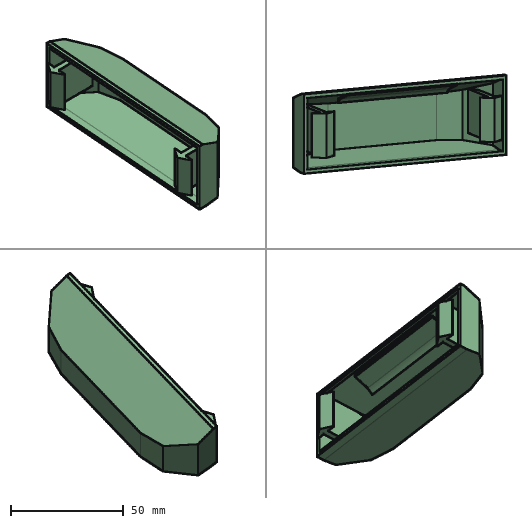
import cadquery as cq
import math

length = 100.0
height = 36.0
depth = 25.0
wall = 1.8
side_depth = 11.0
bevel_x = 39.0
bevel_y = 22.0
back_half_length = 27.0
top_flat = 2.0
bottom_flat = 4.0
back_top_z = 9.0
back_bottom_z = -15.0

hook_x = 41.5
hook_height = 20.0
hook_center_z = -0.5
stem_width = 3.0
head_width = 11.0
head_base_y = -1.8
head_edge = 0.4
tip_y = -5.5

pad_half_length = 27.0
pad_front_z = 15.8
pad_face_front = (3.0, 15.0)
pad_face_back_y = 10.2
cove_middle = (11.7, 11.1)
lip_edge = (12.9, 9.8)

half_length = length / 2
half_height = height / 2
roof_slope = (half_height - back_top_z) / (depth - top_flat)
floor_slope = (back_bottom_z + half_height) / (depth - bottom_flat)


def offset_corner(slope_run):
    """Shift along a flat face of the corner where it meets a face tilted by slope_run."""
    return wall * math.tan(math.atan(slope_run) / 2)


def extruded_plan(points, z_min, z_max):
    """Extrude (x, y) points between two heights."""
    return cq.Workplane("XY").workplane(offset=z_min).polyline(points).close().extrude(z_max - z_min)


def extruded_profile(points, half_width):
    """Extrude (y, z) points symmetrically along X."""
    return cq.Workplane("YZ").polyline(points).close().extrude(half_width, both=True)


def make_plan():
    right = [(half_length, 0), (half_length, side_depth), (bevel_x, bevel_y), (back_half_length, depth)]
    left = [(-x, y) for x, y in reversed(right)]
    return cq.Workplane("XY").workplane(offset=-half_height).polyline(right + left).close()


def make_outer():
    profile = [
        (0, -half_height),
        (bottom_flat, -half_height),
        (depth, back_bottom_z),
        (depth, back_top_z),
        (top_flat, half_height),
        (0, half_height),
    ]
    return make_plan().extrude(height).intersect(extruded_profile(profile, half_length))


def make_cavity():
    """The outer form moved inward by the wall thickness and open at the front."""
    plan = make_plan().offset2D(-wall, "intersection").extrude(height)
    mouth = cq.Workplane("XY").box(length - 2 * wall, 2 * wall, height).translate((0, wall, 0))
    plan = plan.union(mouth)
    roof_z = half_height - wall
    back_y = depth - wall
    roof_break = top_flat - offset_corner(roof_slope)
    floor_break = bottom_flat - offset_corner(floor_slope)
    profile = [
        (0, -roof_z),
        (floor_break, -roof_z),
        (back_y, -roof_z + floor_slope * (back_y - floor_break)),
        (back_y, roof_z - roof_slope * (back_y - roof_break)),
        (roof_break, roof_z),
        (0, roof_z),
    ]
    return plan.intersect(extruded_profile(profile, half_length))


def make_hook(center_x, outer):
    """Arrow-headed hook whose stem runs back into the bevelled end wall."""
    z_min = hook_center_z - hook_height / 2
    z_max = hook_center_z + hook_height / 2
    half_stem = stem_width / 2
    half_head = head_width / 2
    right = [
        (half_head, head_base_y - head_edge),
        (half_head, head_base_y),
        (half_stem, head_base_y),
        (half_stem, 0),
    ]
    left = [(-x, y) for x, y in reversed(right)]
    head = extruded_plan([(0, tip_y)] + right + left, z_min, z_max).translate((center_x, 0, 0))
    stem = cq.Workplane("XY").box(stem_width, depth, hook_height)
    stem = stem.translate((center_x, depth / 2, hook_center_z)).intersect(outer)
    return head.union(stem)


def make_pad():
    roof_z = half_height - wall
    roof_break = top_flat - offset_corner(roof_slope)

    def roof_z_at(y):
        return roof_z - roof_slope * (y - roof_break)

    front_y = roof_break + (roof_z - pad_front_z) / roof_slope
    face_y, face_z = pad_face_front
    face_back = (pad_face_back_y, face_z - roof_slope * (pad_face_back_y - face_y))
    lip_y = lip_edge[0]
    embed = wall / 2
    profile = (
        cq.Workplane("YZ")
        .moveTo(front_y, pad_front_z)
        .lineTo(*pad_face_front)
        .lineTo(*face_back)
        .threePointArc(cove_middle, lip_edge)
        .lineTo(lip_y, roof_z_at(lip_y) + embed)
        .lineTo(front_y, pad_front_z + embed)
        .close()
    )
    return profile.extrude(pad_half_length, both=True)


outer = make_outer()
result = outer.cut(make_cavity())
for side in (-1, 1):
    result = result.union(make_hook(side * hook_x, outer))
result = result.union(make_pad())